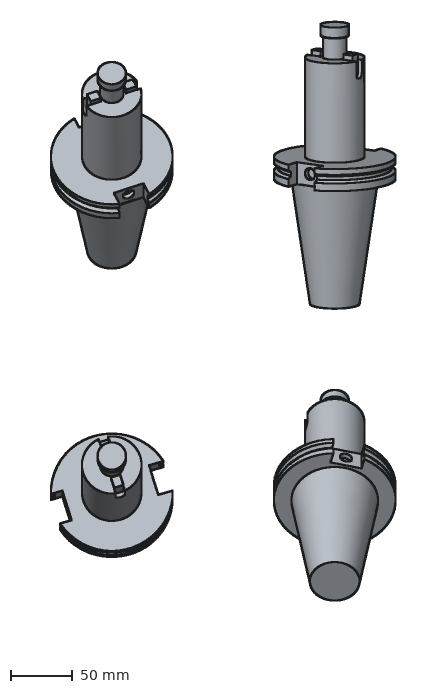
import cadquery as cq
import math

TOTAL_HEIGHT = 230.0
TAPER_LENGTH = 101.7
FLANGE_BOTTOM = 103.0
FLANGE_TOP = 121.2
NOSE_TOP = 203.1
SCREW_HEAD_HEIGHT = 9.2
PILOT_TOP = TOTAL_HEIGHT - SCREW_HEAD_HEIGHT

TAPER_LARGE_DIAMETER = 70.0
TAPER_RATIO = 7 / 24
TAPER_SMALL_DIAMETER = TAPER_LARGE_DIAMETER - TAPER_RATIO * TAPER_LENGTH
FLANGE_DIAMETER = 98.5
NOSE_DIAMETER = 48.0
PILOT_DIAMETER = 19.0
SCREW_HEAD_DIAMETER = 23.0
SCREW_HEAD_CHAMFER = 0.7

GROOVE_CENTER_Z = 113.0
GROOVE_DEPTH = 3.5
GROOVE_MOUTH_WIDTH = 7.1
GROOVE_FLOOR_WIDTH = GROOVE_MOUTH_WIDTH - 2 * GROOVE_DEPTH * math.tan(math.radians(30))

NOTCH_WIDTH = 25.8
NOTCH_FLOOR_DISTANCES = {-1: 37.7, 1: 35.5}
NOTCH_HOLE_DIAMETER = 9.7
NOTCH_HOLE_DEPTH = 4.5

KEY_WIDTH = 7.8
KEY_INNER_Y = 11.0
KEY_OUTER_Y = 20.0
KEY_TOP = 207.5
SLOT_BOTTOM = 188.5

SIDES = (-1, 1)


def make_turned_body():
    """Taper, grooved flange, nose and pilot as one revolved profile."""
    flange_radius = FLANGE_DIAMETER / 2
    groove_radius = flange_radius - GROOVE_DEPTH
    half_mouth = GROOVE_MOUTH_WIDTH / 2
    half_floor = GROOVE_FLOOR_WIDTH / 2
    profile = [
        (0, 0),
        (TAPER_SMALL_DIAMETER / 2, 0),
        (TAPER_LARGE_DIAMETER / 2, TAPER_LENGTH),
        (TAPER_LARGE_DIAMETER / 2, FLANGE_BOTTOM),
        (flange_radius, FLANGE_BOTTOM),
        (flange_radius, GROOVE_CENTER_Z - half_mouth),
        (groove_radius, GROOVE_CENTER_Z - half_floor),
        (groove_radius, GROOVE_CENTER_Z + half_floor),
        (flange_radius, GROOVE_CENTER_Z + half_mouth),
        (flange_radius, FLANGE_TOP),
        (NOSE_DIAMETER / 2, FLANGE_TOP),
        (NOSE_DIAMETER / 2, NOSE_TOP),
        (PILOT_DIAMETER / 2, NOSE_TOP),
        (PILOT_DIAMETER / 2, PILOT_TOP),
        (0, PILOT_TOP),
    ]
    return cq.Workplane("XZ").polyline(profile).close().revolve(360, (0, 0, 0), (0, 1, 0))


def make_notch_cut(side):
    """Rectangular drive notch with a shallow round hole in its floor."""
    floor_distance = NOTCH_FLOOR_DISTANCES[side]
    notch_depth = FLANGE_DIAMETER / 2 - floor_distance
    notch = cq.Workplane("XY").box(
        notch_depth, NOTCH_WIDTH, FLANGE_TOP - FLANGE_BOTTOM, centered=(False, True, False)
    ).translate((floor_distance, 0, FLANGE_BOTTOM))
    hole = (
        cq.Workplane("YZ", origin=(floor_distance, 0, GROOVE_CENTER_Z))
        .circle(NOTCH_HOLE_DIAMETER / 2)
        .extrude(-NOTCH_HOLE_DEPTH)
    )
    cut = notch.union(hole)
    return cut if side > 0 else cut.rotate((0, 0, 0), (0, 0, 1), 180)


def make_round_ended_bar(side, outer_y, top):
    """Upright bar with a semicircular bottom, running from the slot floor out to outer_y."""
    half_width = KEY_WIDTH / 2
    arc_center_z = SLOT_BOTTOM + half_width
    bar = (
        cq.Workplane("XZ", origin=(0, -KEY_INNER_Y, 0))
        .moveTo(-half_width, top)
        .lineTo(-half_width, arc_center_z)
        .threePointArc((0, SLOT_BOTTOM), (half_width, arc_center_z))
        .lineTo(half_width, top)
        .close()
        .extrude(outer_y - KEY_INNER_Y)
    )
    return bar if side < 0 else bar.rotate((0, 0, 0), (0, 0, 1), 180)


def make_holder():
    """Tool holder with its drive notches and key slots cut."""
    body = make_turned_body()
    for side in SIDES:
        body = body.cut(make_notch_cut(side))
        body = body.cut(make_round_ended_bar(side, NOSE_DIAMETER / 2, NOSE_TOP))
    return body


def make_drive_key(side):
    """Drive key seated against the inner wall of its slot and standing above the nose."""
    return make_round_ended_bar(side, KEY_OUTER_Y, KEY_TOP)


def make_lock_screw():
    """Screw head resting on the pilot, chamfered around its underside."""
    return (
        cq.Workplane("XY", origin=(0, 0, PILOT_TOP))
        .circle(SCREW_HEAD_DIAMETER / 2)
        .extrude(SCREW_HEAD_HEIGHT)
        .faces("<Z")
        .chamfer(SCREW_HEAD_CHAMFER)
    )


holder = make_holder()
lock_screw = make_lock_screw()
drive_keys = [make_drive_key(side) for side in SIDES]

result = cq.Compound.makeCompound(
    [holder.val(), lock_screw.val(), *[key.val() for key in drive_keys]]
)